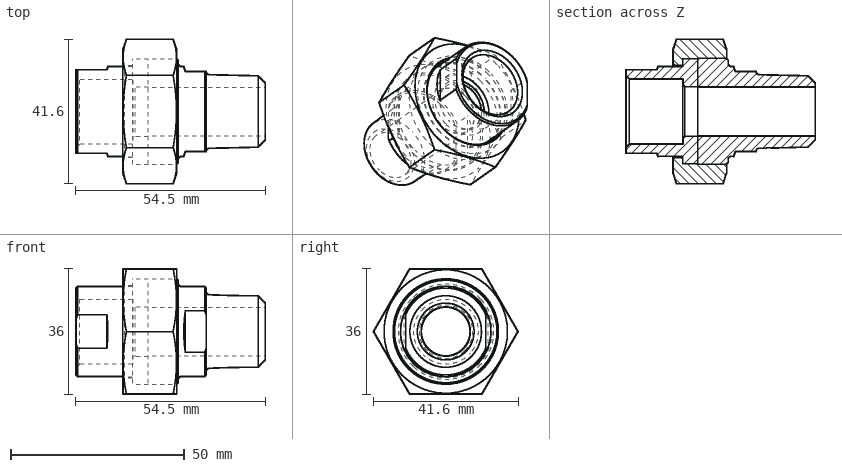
import cadquery as cq
import math


TOTAL_LENGTH = 54.5
BODY_RADIUS = 26.0 / 2
EDGE_CHAMFER = 0.5
FILLET = 0.8
COLLAR_RADIUS = 30.35 / 2
JOINT_X = 20.7

NUT_START = 13.45
NUT_END = 29.0
NUT_ACROSS_FLATS = 36.0
NUT_FACE_RADIUS = 35.55 / 2
NUT_CORNER_DEPTH = 1.05
NUT_LIP = 2.7
NUT_LIP_RADIUS = 26.5 / 2
NUT_MOUTH_CHAMFER = 0.5

SOCKET_RADIUS = 18.65 / 2
SOCKET_MOUTH_RADIUS = 20.65 / 2
SOCKET_MOUTH_DEPTH = 1.0
SOCKET_DEPTH = 16.35
SLEEVE_BORE_RADIUS = 14.2 / 2
SLEEVE_BORE_MOUTH_RADIUS = 15.35 / 2
SLEEVE_FLAT_Y = 12.05
SLEEVE_FLAT_END = 8.9

TAIL_BORE_RADIUS = 14.0 / 2
COLLAR_CHAMFER = 0.45
COLLAR_END = NUT_END + COLLAR_CHAMFER
TAIL_BODY_END = 37.5
TAIL_FLAT_Y = 11.55
TAIL_FLAT_START = 31.45
THREAD_ROOT_RADIUS = 10.65
THREAD_END_RADIUS = 10.3
THREAD_CHAMFER = 2.1

SHOULDER_ANGLE = 17.0
CUT_MARGIN = 2.7


def revolve_about_x(outline):
    """Turn a closed half section, drawn as (x, radius), about the X axis."""
    return outline.close().revolve(360, (0, 0, 0), (1, 0, 0))


def cut_wrench_flats(body, flat_y, open_x, shoulder_x):
    """Cut two flats at +Y and -Y, from beyond open_x to a leaning shoulder at shoulder_x."""
    outer_y = BODY_RADIUS + CUT_MARGIN
    away = math.copysign(1, shoulder_x - open_x)
    lean = away * (outer_y - flat_y) * math.tan(math.radians(SHOULDER_ANGLE))
    for side in (-1, 1):
        cutter = (
            cq.Workplane("XY")
            .moveTo(open_x, side * flat_y)
            .lineTo(shoulder_x, side * flat_y)
            .lineTo(shoulder_x + lean, side * outer_y)
            .lineTo(open_x, side * outer_y)
            .close()
            .extrude(BODY_RADIUS, both=True)
        )
        body = body.cut(cutter)
    return body


def make_sleeve():
    flange_start = NUT_START + NUT_LIP
    bore_chamfer = SLEEVE_BORE_MOUTH_RADIUS - SLEEVE_BORE_RADIUS
    outline = (
        cq.Workplane("XY")
        .moveTo(0, SOCKET_MOUTH_RADIUS)
        .lineTo(0, BODY_RADIUS - EDGE_CHAMFER)
        .lineTo(EDGE_CHAMFER, BODY_RADIUS)
        .lineTo(flange_start, BODY_RADIUS)
        .lineTo(flange_start, COLLAR_RADIUS)
        .lineTo(JOINT_X, COLLAR_RADIUS)
        .lineTo(JOINT_X, SLEEVE_BORE_RADIUS)
        .lineTo(SOCKET_DEPTH + bore_chamfer, SLEEVE_BORE_RADIUS)
        .lineTo(SOCKET_DEPTH, SLEEVE_BORE_MOUTH_RADIUS)
        .lineTo(SOCKET_DEPTH, SOCKET_RADIUS)
        .lineTo(SOCKET_MOUTH_DEPTH, SOCKET_RADIUS)
    )
    return cut_wrench_flats(revolve_about_x(outline), SLEEVE_FLAT_Y, 0, SLEEVE_FLAT_END)


def make_nut():
    corner_radius = NUT_ACROSS_FLATS / math.sqrt(3)
    hexagon = (
        cq.Workplane("YZ", origin=(NUT_START, 0, 0))
        .polygon(6, 2 * corner_radius)
        .extrude(NUT_END - NUT_START)
    )

    lip_end = NUT_START + NUT_LIP
    envelope = (
        cq.Workplane("XY")
        .moveTo(NUT_START, NUT_LIP_RADIUS + NUT_MOUTH_CHAMFER)
        .lineTo(NUT_START, NUT_FACE_RADIUS)
        .lineTo(NUT_START + NUT_CORNER_DEPTH, corner_radius)
        .lineTo(NUT_END - NUT_CORNER_DEPTH, corner_radius)
        .lineTo(NUT_END, NUT_FACE_RADIUS)
        .lineTo(NUT_END, COLLAR_RADIUS)
        .lineTo(lip_end, COLLAR_RADIUS)
        .lineTo(lip_end, NUT_LIP_RADIUS)
        .lineTo(NUT_START + NUT_MOUTH_CHAMFER, NUT_LIP_RADIUS)
    )
    return hexagon.intersect(revolve_about_x(envelope))


def make_tail():
    outline = (
        cq.Workplane("XY")
        .moveTo(JOINT_X, TAIL_BORE_RADIUS)
        .lineTo(JOINT_X, COLLAR_RADIUS)
        .lineTo(NUT_END, COLLAR_RADIUS)
        .lineTo(COLLAR_END, COLLAR_RADIUS - COLLAR_CHAMFER)
        .lineTo(COLLAR_END, BODY_RADIUS + FILLET)
        .radiusArc((COLLAR_END + FILLET, BODY_RADIUS), -FILLET)
        .lineTo(TAIL_BODY_END - EDGE_CHAMFER, BODY_RADIUS)
        .lineTo(TAIL_BODY_END, BODY_RADIUS - EDGE_CHAMFER)
        .lineTo(TAIL_BODY_END, THREAD_ROOT_RADIUS + FILLET)
        .radiusArc((TAIL_BODY_END + FILLET, THREAD_ROOT_RADIUS), -FILLET)
        .lineTo(TOTAL_LENGTH - THREAD_CHAMFER, THREAD_END_RADIUS)
        .lineTo(TOTAL_LENGTH, THREAD_END_RADIUS - THREAD_CHAMFER)
        .lineTo(TOTAL_LENGTH, TAIL_BORE_RADIUS)
    )
    return cut_wrench_flats(revolve_about_x(outline), TAIL_FLAT_Y, TAIL_BODY_END, TAIL_FLAT_START)


sleeve = make_sleeve()
nut = make_nut()
tail = make_tail()

result = cq.Compound.makeCompound([sleeve.val(), nut.val(), tail.val()])